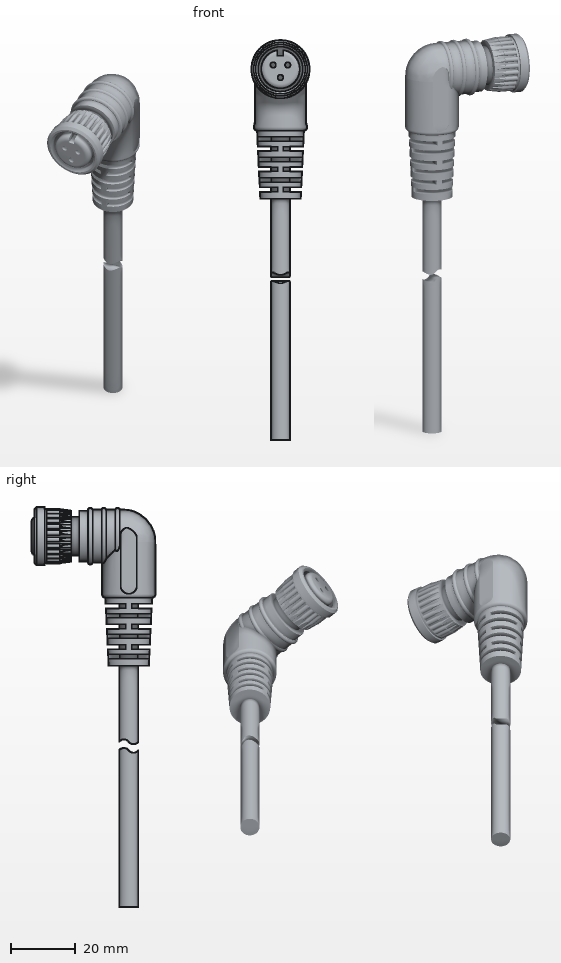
import cadquery as cq
import math


cable_radius = 3.0
cable_bottom = -114.3
break_upper_z = -63.4
break_lower_z = -66.0
break_wave_height = 0.7

body_radius = 8.3
bend_radius = 1.8
body_bottom = -19.0
body_bottom_fillet = 1.1

label_width = 5.0
label_top = 2.7
label_bottom = -17.8
label_floor = 7.8

relief_top_radius = 7.3
relief_bottom_radius = 6.3
relief_bottom = -40.0
slot_height = 1.4
slot_web = 1.7
first_slot_z = -21.6
slot_pair_pitch = 6.3
slot_pair_offset = 3.0
slot_pair_count = 3

tube_length = 12.6
tube_end_radius = 7.9
tube_end_length = 15.3
ring_height = 0.5
ring_width = 1.4
ring_positions = (3.5, 7.6, 11.8)
neck_radius = 6.0

nut_start = 17.8
nut_root_radius = 7.8
rear_knurl_end = 21.2
knurl_end = 25.3
shoulder_radius = 8.4
flange_start = 25.9
flange_radius = 9.0
nut_end = 29.1
nut_edge_chamfer = 0.7
nut_bore_radius = 6.9
nut_bore_chamfer = 0.7
nut_bore_depth = 3.5

ridge_count = 24
rear_ridge_radius = 0.6
rear_ridge_circle = 7.8
rear_taper_radius = 7.9
front_ridge_radius = 0.7
front_ridge_circle = 7.8

insert_radius = 5.9
insert_end = 30.0
insert_rounding = 1.4
key_width = 1.8
key_floor = 4.1
contact_count = 3
contact_circle = 2.6
contact_radius = 0.9
contact_depth = 3.7


def plug_cylinder(radius, start, end):
    """Cylinder on the plug axis between two distances from the elbow."""
    plane = cq.Workplane("XZ").workplane(offset=start)
    return plane.circle(radius).extrude(end - start)


def upright_cylinder(radius, bottom, top):
    return cq.Workplane("XY").workplane(offset=bottom).circle(radius).extrude(top - bottom)


def make_elbow():
    """Vertical barrel, horizontal barrel and the quarter bend that joins them."""
    barrel = upright_cylinder(body_radius, body_bottom, -bend_radius)
    barrel = barrel.faces("<Z").edges().fillet(body_bottom_fillet)
    stub = plug_cylinder(body_radius, bend_radius, tube_length)
    half_chord = math.sqrt(body_radius**2 - bend_radius**2)
    bend = (
        cq.Workplane("XY", origin=(0, 0, -bend_radius))
        .moveTo(half_chord, -bend_radius)
        .threePointArc((0, body_radius), (-half_chord, -bend_radius))
        .close()
        .revolve(90, (0, -bend_radius, 0), (1, -bend_radius, 0))
    )
    return barrel.union(stub).union(bend)


def label_recess(side):
    """Round-ended cutter outside the label floor; side is -1 or +1 along X."""
    return (
        cq.Workplane("YZ", origin=(side * label_floor, 0, (label_top + label_bottom) / 2))
        .slot2D(label_top - label_bottom, label_width, 90)
        .extrude(side * body_radius)
    )


def make_strain_relief():
    relief = (
        cq.Workplane("XY", origin=(0, 0, relief_bottom))
        .circle(relief_bottom_radius)
        .workplane(offset=body_bottom - relief_bottom)
        .circle(relief_top_radius)
        .loft()
    )
    for pair in range(slot_pair_count):
        upper_z = first_slot_z - pair * slot_pair_pitch
        relief = relief.cut(relief_slot(upper_z, 0))
        relief = relief.cut(relief_slot(upper_z - slot_pair_offset, 90))
    return relief


def relief_slot(z, web_angle):
    """Ring-shaped slot around the cable, bridged by two opposite webs."""
    slot = upright_cylinder(2 * relief_top_radius, z - slot_height / 2, z + slot_height / 2)
    core = upright_cylinder(cable_radius, z - slot_height, z + slot_height)
    webs = cq.Workplane("XY").box(4 * relief_top_radius, slot_web, slot_height)
    webs = webs.rotate((0, 0, 0), (0, 0, 1), web_angle).translate((0, 0, z))
    return slot.cut(core).cut(webs)


def grip_ring(position):
    """Ring with a rounded crown around the horizontal tube."""
    front = -position - ring_width / 2
    back = -position + ring_width / 2
    return (
        cq.Workplane("XY")
        .moveTo(0, front)
        .lineTo(body_radius, front)
        .threePointArc((body_radius + ring_height, -position), (body_radius, back))
        .lineTo(0, back)
        .close()
        .revolve(360, (0, 0, 0), (0, 1, 0))
    )


def make_tube():
    tube = plug_cylinder(tube_end_radius, tube_length, tube_end_length)
    tube = tube.union(plug_cylinder(neck_radius, tube_end_length, nut_start))
    for position in ring_positions:
        tube = tube.union(grip_ring(position))
    return tube


def knurl_ridges(radius, circle, start, end):
    """Ring of round bars along the plug axis."""
    plane = cq.Workplane("XZ").workplane(offset=start)
    half_step = 180 / ridge_count
    points = plane.polarArray(circle, half_step, 360, ridge_count)
    return points.circle(radius).extrude(end - start)


def make_rear_knurl():
    """Short knurl that tapers towards the back of the nut."""
    ridges = knurl_ridges(rear_ridge_radius, rear_ridge_circle, nut_start, rear_knurl_end)
    taper = (
        cq.Workplane("XZ", origin=(0, -nut_start, 0))
        .circle(rear_taper_radius)
        .workplane(offset=rear_knurl_end - nut_start)
        .circle(rear_ridge_circle + rear_ridge_radius)
        .loft()
    )
    return ridges.intersect(taper)


def make_nut():
    nut = plug_cylinder(nut_root_radius, nut_start, knurl_end)
    nut = nut.union(make_rear_knurl())
    nut = nut.union(knurl_ridges(front_ridge_radius, front_ridge_circle, rear_knurl_end, knurl_end))
    nut = nut.union(plug_cylinder(shoulder_radius, knurl_end, flange_start))
    flange = plug_cylinder(flange_radius, flange_start, nut_end)
    nut = nut.union(flange.faces("<Y").edges().chamfer(nut_edge_chamfer))
    bore = plug_cylinder(nut_bore_radius, nut_end - nut_bore_depth, nut_end)
    nut = nut.cut(bore)
    bore_edge = nut.faces("<Y").edges(cq.selectors.RadiusNthSelector(0))
    return bore_edge.chamfer(nut_bore_chamfer)


def make_insert():
    """Contact carrier with a key slot at the top, and the cutters for its contact holes."""
    insert_start = nut_end - nut_bore_depth
    insert = plug_cylinder(insert_radius, insert_start, insert_end)
    insert = insert.faces("<Y").edges().fillet(insert_rounding)
    key_slot = (
        cq.Workplane("XZ", origin=(0, -insert_start, key_floor + insert_radius / 2))
        .rect(key_width, insert_radius)
        .extrude(insert_end - insert_start)
    )
    contacts = (
        cq.Workplane("XZ", origin=(0, -insert_end, 0))
        .polarArray(contact_circle, -90, 360, contact_count)
        .circle(contact_radius)
        .extrude(-contact_depth)
    )
    return insert.cut(key_slot), contacts


def cable_break(z):
    """Region below a wavy break whose mean height is z, as wide as the cable."""
    return (
        cq.Workplane("YZ", origin=(-2 * cable_radius, 0, 0))
        .moveTo(cable_radius, z)
        .threePointArc((cable_radius / 2, z - break_wave_height), (0, z))
        .threePointArc((-cable_radius / 2, z + break_wave_height), (-cable_radius, z))
        .lineTo(-cable_radius, 2 * cable_bottom)
        .lineTo(cable_radius, 2 * cable_bottom)
        .close()
        .extrude(4 * cable_radius)
    )


def make_connector():
    connector = make_elbow().union(make_tube())
    for side in (-1, 1):
        connector = connector.cut(label_recess(side))
    upper_cable = upright_cylinder(cable_radius, cable_bottom, body_bottom)
    upper_cable = upper_cable.cut(cable_break(break_upper_z))
    insert, contacts = make_insert()
    connector = connector.union(make_strain_relief()).union(upper_cable)
    return connector.union(make_nut()).union(insert).cut(contacts)


def make_cable_end():
    cable = upright_cylinder(cable_radius, cable_bottom, body_bottom)
    return cable.intersect(cable_break(break_lower_z))


connector = make_connector()
cable_end = make_cable_end()
result = cq.Compound.makeCompound([connector.val(), cable_end.val()])